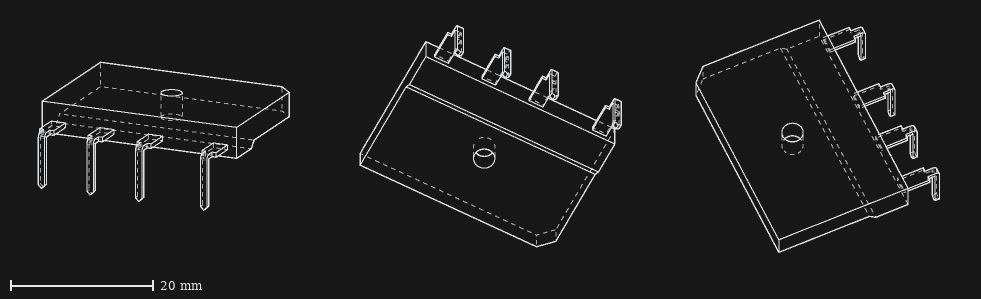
import cadquery as cq

housing_width = 30.0
housing_depth = 20.0
thin_height = 3.6
step_height = 1.0
step_flat_depth = 5.0
corner_chamfer = 2.0
hole_diameter = 3.0
hole_from_back = 9.0

overall_depth = 25.8
overall_height = 10.9
lead_thickness = 0.7
lead_top_drop = 2.75
wide_width = 2.2
wide_length = 4.0
narrow_width = 1.0
bend_radius = lead_thickness
first_lead_inset = 2.5
lead_pitch = 7.5

lead_reach = overall_depth - housing_depth
lead_top = -lead_top_drop
first_lead_x = first_lead_inset - housing_width / 2
lead_positions = [first_lead_x, first_lead_x + lead_pitch, first_lead_x + 2 * lead_pitch, -first_lead_x]


def make_housing():
    full_height = thin_height + step_height
    profile = [
        (0, 0),
        (housing_depth, 0),
        (housing_depth, -thin_height),
        (step_flat_depth + step_height, -thin_height),
        (step_flat_depth, -full_height),
        (0, -full_height),
    ]
    block = cq.Workplane("YZ").polyline(profile).close().extrude(housing_width / 2, both=True)
    block = block.edges("|Z").edges(">X and >Y").chamfer(corner_chamfer)

    hole = (
        cq.Workplane("XY")
        .center(0, housing_depth - hole_from_back)
        .circle(hole_diameter / 2)
        .extrude(-full_height)
    )
    return block.cut(hole)


def make_lead(x):
    shank = (
        cq.Workplane("XY")
        .box(wide_width, wide_length, lead_thickness, centered=(True, False, False))
        .translate((0, -wide_length, lead_top - lead_thickness))
    )

    leg = (
        cq.Workplane("YZ")
        .moveTo(-wide_length, lead_top)
        .lineTo(bend_radius - lead_reach, lead_top)
        .radiusArc((-lead_reach, lead_top - bend_radius), -bend_radius)
        .lineTo(-lead_reach, -overall_height)
        .lineTo(lead_thickness - lead_reach, -overall_height)
        .lineTo(lead_thickness - lead_reach, lead_top - lead_thickness)
        .lineTo(-wide_length, lead_top - lead_thickness)
        .close()
        .extrude(narrow_width / 2, both=True)
    )

    half_width = narrow_width / 2
    for side in (-1, 1):
        corner = [
            (0, -overall_height),
            (side * half_width, -overall_height),
            (side * half_width, half_width - overall_height),
        ]
        wedge = cq.Workplane("XZ").polyline(corner).close().extrude(lead_reach)
        leg = leg.cut(wedge)

    return shank.union(leg).translate((x, 0, 0))


housing = make_housing()
leads = [make_lead(x) for x in lead_positions]

result = cq.Compound.makeCompound([housing.solids().val(), *[lead.solids().val() for lead in leads]])